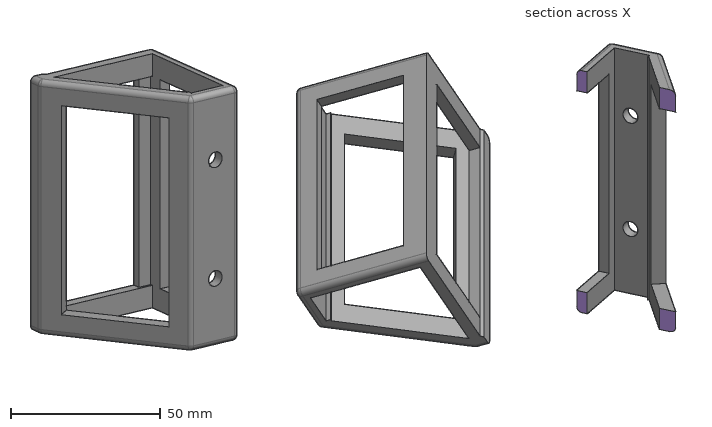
import cadquery as cq
import math

width = 49.0
depth = 50.8
height = 90.0

wall = 4.0
slope_wall = 5.0
slope_angle = math.radians(35)
border = 8.0
slope_border = 7.8
edge_radius = 2.0

lip_overhang = 1.0
lip_front_width = 4.95
lip_depth = 4.9

ledge_width = 1.6
ledge_back = 33.75

left_post_border = 8.4
left_opening_inset = 8.8
post_recess = 1.0
hole_diameter = 5.5
hole_inset = 9.9
hole_spacing = 42.0

slope_rise = math.tan(slope_angle)
window_height = height - 2 * border
slope_length = (width - lip_front_width) / math.cos(slope_angle)
lip_back = lip_depth + lip_overhang
inner_left = lip_overhang + wall
inner_right = width - wall


def inner_slope_y(x):
    """Y of the sloped wall's inner face at the given X."""
    return (x - lip_front_width) * slope_rise + slope_wall / math.cos(slope_angle)


def outer_body():
    body = (
        cq.Workplane("XY")
        .polyline([
            (0, 0),
            (lip_front_width, 0),
            (width, (width - lip_front_width) * slope_rise),
            (width, depth),
            (lip_overhang, depth),
            (lip_overhang, lip_back),
            (0, lip_depth),
        ])
        .close()
        .extrude(height)
    )
    beyond_left = cq.selectors.BoxSelector(
        (lip_front_width / 3, -wall, -wall), (width + wall, depth + wall, height + wall)
    )
    uprights = body.edges("|Z").edges(beyond_left)
    ends = body.faces("<Z or >Z").edges(beyond_left)
    return uprights.add(ends).fillet(edge_radius)


def central_opening():
    """Opening through the full height, inside the four walls."""
    ledge_left = inner_right - ledge_width
    return (
        cq.Workplane("XY")
        .polyline([
            (inner_left, inner_slope_y(inner_left)),
            (ledge_left, inner_slope_y(ledge_left)),
            (ledge_left, ledge_back),
            (inner_right, ledge_back),
            (inner_right, depth - wall),
            (inner_left, depth - wall),
        ])
        .close()
        .extrude(height)
    )


def back_window():
    left = lip_overhang + left_post_border
    length = width - border - left
    return cq.Workplane("XY").box(length, wall, window_height, centered=False).translate(
        (left, depth - wall, border)
    )


def left_window():
    length = depth - left_opening_inset - lip_back
    return cq.Workplane("XY").box(wall, length, window_height, centered=False).translate(
        (lip_overhang, lip_back, border)
    )


def rear_post_recess():
    """Shallow recess that thins the left rear post from inside, between the end rails."""
    length = left_opening_inset - wall
    return cq.Workplane("XY").box(post_recess, length, window_height, centered=False).translate(
        (inner_left - post_recess, depth - left_opening_inset, border)
    )


def slope_window():
    """Window cut square to the sloped wall."""
    return (
        cq.Workplane("XY")
        .box(slope_length - 2 * slope_border, slope_wall, window_height, centered=False)
        .translate((slope_border, 0, border))
        .rotate((0, 0, 0), (0, 0, 1), math.degrees(slope_angle))
        .translate((lip_front_width, 0, 0))
    )


def wall_holes():
    """Two holes through the right wall."""
    return (
        cq.Workplane("YZ", origin=(inner_right, depth - hole_inset, height / 2))
        .rarray(0.9, hole_spacing, 1, 2)
        .circle(hole_diameter / 2)
        .extrude(wall)
    )


result = outer_body()
openings = [
    central_opening(),
    back_window(),
    left_window(),
    rear_post_recess(),
    slope_window(),
    wall_holes(),
]
for opening in openings:
    result = result.cut(opening)